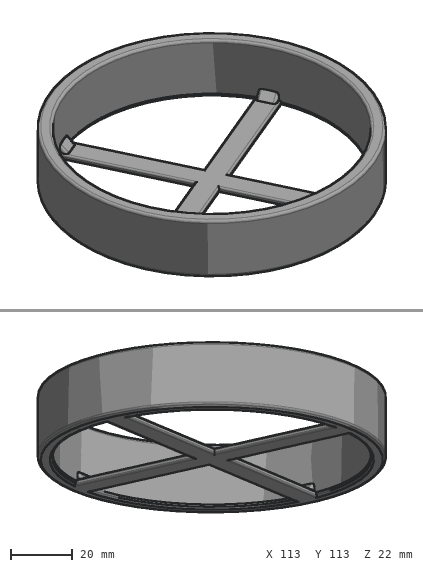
import cadquery as cq

outer_diameter = 113.0
inner_diameter = 103.0
height = 22.0
rim_fillet = 1.0
bottom_chamfer = 1.0

bar_width = 8.5
bar_thickness = 2.0
bar_fillet = 0.7

gusset_width = bar_width - 2 * bar_fillet
gusset_length = 2.9
gusset_height = 2.9
gusset_fillet = 1.0
gusset_count = 4

outer_radius = outer_diameter / 2
inner_radius = inner_diameter / 2
wall = outer_radius - inner_radius
wall_middle_radius = inner_radius + wall / 2


def make_ring():
    """Plain ring with rounded top rims and chamfered bottom rims blended into the walls."""
    ring = cq.Workplane("XY").circle(outer_radius).circle(inner_radius).extrude(height)
    ring = ring.faces(">Z").edges().fillet(rim_fillet)
    ring = ring.faces("<Z").edges().chamfer(bottom_chamfer)
    chamfer_tops = cq.selectors.BoxSelector(
        (-outer_diameter, -outer_diameter, bottom_chamfer / 2),
        (outer_diameter, outer_diameter, height / 2),
    )
    return ring.edges("%CIRCLE").edges(chamfer_tops).fillet(rim_fillet)


def make_cross():
    """Two crossing bars with rounded upper and lower edges, ending inside the ring wall."""
    bar_length = 2 * wall_middle_radius
    bar_x = cq.Workplane("XY").box(
        bar_length, bar_width, bar_thickness, centered=(True, True, False)
    )
    bar_y = bar_x.rotate((0, 0, 0), (0, 0, 1), 90)
    cross = bar_x.union(bar_y)
    return cross.faces(">Z or <Z").edges().fillet(bar_fillet)


def make_gusset():
    """Wedge on the +X bar, rising towards the ring wall, with rounded slope sides."""
    tip_radius = inner_radius - gusset_length
    top_z = bar_thickness + gusset_height
    wedge = (
        cq.Workplane("XZ", origin=(0, gusset_width / 2, 0))
        .moveTo(tip_radius, bar_thickness)
        .lineTo(inner_radius, top_z)
        .lineTo(wall_middle_radius, top_z)
        .lineTo(wall_middle_radius, bar_thickness / 2)
        .lineTo(tip_radius, bar_thickness / 2)
        .close()
        .extrude(gusset_width)
    )
    slope_sides = wedge.edges("#Y and (not |X) and (not |Z)")
    return slope_sides.fillet(gusset_fillet)


result = make_ring().union(make_cross())
gusset = make_gusset()
for index in range(gusset_count):
    angle = index * 360 / gusset_count
    result = result.union(gusset.rotate((0, 0, 0), (0, 0, 1), angle))